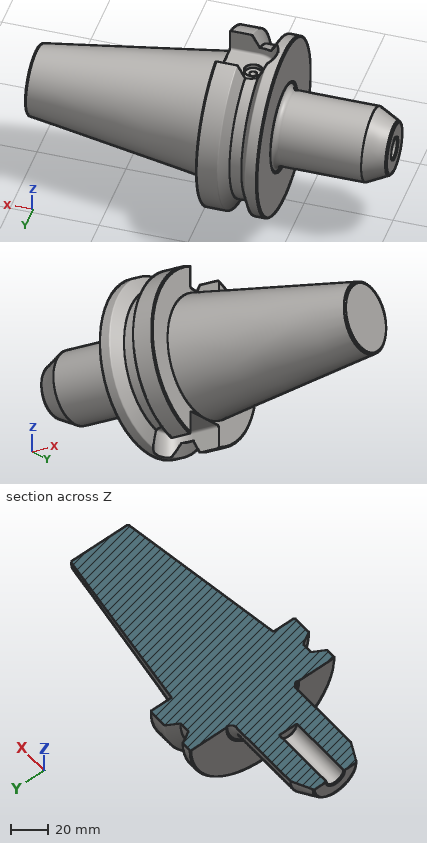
import cadquery as cq
import math

length = 201.8
flange_front = 62.2
flange_back = 96.7

nose_radius = 21.0
nose_tip_radius = 15.1
nose_cone_length = 12.5
tip_chamfer = 0.8
bore_radius = 5.95
bore_depth = 40.4
bore_chamfer = 0.6

undercut_start = 58.1
undercut_radius = 20.89
undercut_face_depth = 0.5
undercut_fillet = 3.5
undercut_face_radius = 25.2

flange_radius = 50.0
flange_chamfer = 0.6
groove_rim_fillet = 1.0
groove_radius = 42.5
groove_floor_start = 73.3
groove_floor_end = 80.0
groove_flank_slope = math.tan(math.radians(30))
groove_front_rim = groove_floor_start - (flange_radius - groove_radius) * groove_flank_slope
groove_rear_rim = groove_floor_end + (flange_radius - groove_radius) * groove_flank_slope

taper_radius = 35.3
taper_slope = 7 / 48
taper_end_radius = taper_radius - (length - flange_back) * taper_slope
taper_end_chamfer = 0.8

slot_half_width = 13.5
slot_center = 79.5
slot_floor = 35.3
slot_floor_fillet = 1.5

screw_x = slot_center
screw_recess_radius = 5.0
screw_recess_depth = 2.5
screw_socket_radius = 2.0
screw_socket_depth = 2.0


def turned_body():
    fillet_start = flange_front + undercut_face_depth - undercut_fillet
    fillet_top = undercut_radius + undercut_fillet
    arc_offset = undercut_fillet * math.sqrt(0.5)
    arc_middle = (fillet_start + arc_offset, fillet_top - arc_offset)
    return (
        cq.Workplane("XY")
        .moveTo(0, 0)
        .lineTo(0, nose_tip_radius - tip_chamfer)
        .lineTo(tip_chamfer, nose_tip_radius)
        .lineTo(nose_cone_length, nose_radius)
        .lineTo(undercut_start, nose_radius)
        .lineTo(fillet_start, undercut_radius)
        .threePointArc(arc_middle, (flange_front + undercut_face_depth, fillet_top))
        .lineTo(flange_front, undercut_face_radius)
        .lineTo(flange_front, flange_radius - flange_chamfer)
        .lineTo(flange_front + flange_chamfer, flange_radius)
        .lineTo(groove_front_rim, flange_radius)
        .lineTo(groove_floor_start, groove_radius)
        .lineTo(groove_floor_end, groove_radius)
        .lineTo(groove_rear_rim, flange_radius)
        .lineTo(flange_back - flange_chamfer, flange_radius)
        .lineTo(flange_back, flange_radius - flange_chamfer)
        .lineTo(flange_back, taper_radius)
        .lineTo(length - taper_end_chamfer, taper_end_radius + taper_end_chamfer * taper_slope)
        .lineTo(length, taper_end_radius - taper_end_chamfer)
        .lineTo(length, 0)
        .close()
        .revolve(360, (0, 0, 0), (1, 0, 0))
    )


def nose_bore():
    return (
        cq.Workplane("XY")
        .moveTo(0, 0)
        .lineTo(0, bore_radius + bore_chamfer)
        .lineTo(bore_chamfer, bore_radius)
        .lineTo(bore_depth, bore_radius)
        .lineTo(bore_depth, 0)
        .close()
        .revolve(360, (0, 0, 0), (1, 0, 0))
    )


def slot_cutter():
    """Round-ended cutter above the slot floor, open at the back of the flange."""
    return (
        cq.Workplane("XY", origin=(0, 0, slot_floor))
        .moveTo(flange_back, -slot_half_width)
        .lineTo(slot_center, -slot_half_width)
        .threePointArc((slot_center - slot_half_width, 0), (slot_center, slot_half_width))
        .lineTo(flange_back, slot_half_width)
        .close()
        .extrude(flange_radius - slot_floor)
        .faces("<Z")
        .edges("not >X")
        .fillet(slot_floor_fillet)
    )


def screw_recess():
    """Round recess above the screw head, with a conical socket in its bottom."""
    socket_top = slot_floor - screw_recess_depth
    return (
        cq.Workplane("XZ", origin=(screw_x, 0, 0))
        .moveTo(0, slot_floor)
        .lineTo(screw_recess_radius, slot_floor)
        .lineTo(screw_recess_radius, socket_top)
        .lineTo(screw_socket_radius, socket_top)
        .lineTo(0, socket_top - screw_socket_depth)
        .close()
        .revolve(360, (0, 0, 0), (0, 1, 0))
    )


def round_groove_rims(body):
    """Round the two outer rims where the groove flanks meet the flange."""
    for rim_x in (groove_front_rim, groove_rear_rim):
        near = rim_x - groove_rim_fillet / 2
        far = rim_x + groove_rim_fillet / 2
        rim = cq.selectors.BoxSelector(
            (near, -flange_radius, -flange_radius),
            (far, flange_radius, flange_radius),
        )
        body = body.edges("%CIRCLE").edges(rim).fillet(groove_rim_fillet)
    return body


result = round_groove_rims(turned_body()).cut(nose_bore())
for turn in (0, 180):
    result = result.cut(slot_cutter().rotate((0, 0, 0), (1, 0, 0), turn))
result = result.cut(screw_recess())